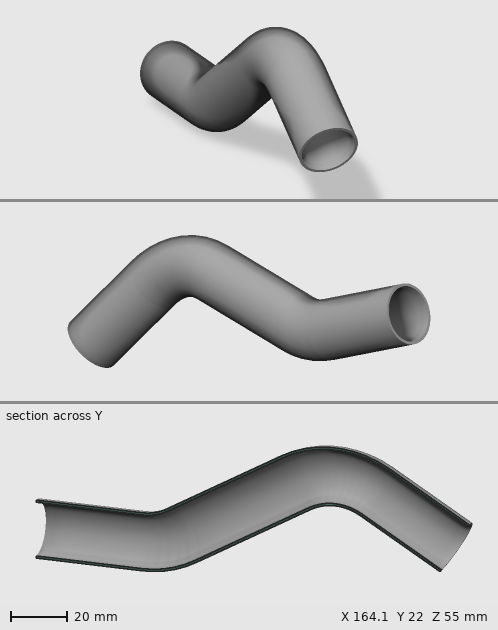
import cadquery as cq
import math

overall_length = 164.1
outer_diameter = 22.0
bore_diameter = 20.0
inlet_length = 40.0
middle_length = 50.0
bend_radius = 30.0
slope_angle = 30.0

slope = math.radians(slope_angle)
cos_slope = math.cos(slope)
sin_slope = math.sin(slope)

outlet_overhang = outer_diameter / 2 * sin_slope

bend_run = bend_radius * sin_slope
bend_rise = bend_radius * (1 - cos_slope)

lower_bend_start = (inlet_length, 0)
lower_bend_end = (inlet_length + bend_run, bend_rise)
upper_bend_start = (
    lower_bend_end[0] + middle_length * cos_slope,
    lower_bend_end[1] + middle_length * sin_slope,
)
upper_bend_top = (upper_bend_start[0] + bend_run, upper_bend_start[1] + bend_rise)
upper_bend_end = (upper_bend_top[0] + bend_run, upper_bend_start[1])
outlet_run = overall_length - outlet_overhang - upper_bend_end[0]
outlet_end = (
    upper_bend_end[0] + outlet_run,
    upper_bend_end[1] - outlet_run * math.tan(slope),
)

lower_bend_middle = (
    inlet_length + bend_radius * math.sin(slope / 2),
    bend_radius * (1 - math.cos(slope / 2)),
)

centreline = (
    cq.Workplane("XZ")
    .lineTo(*lower_bend_start)
    .threePointArc(lower_bend_middle, lower_bend_end)
    .lineTo(*upper_bend_start)
    .threePointArc(upper_bend_top, upper_bend_end)
    .lineTo(*outlet_end)
)

result = (
    cq.Workplane("YZ")
    .circle(outer_diameter / 2)
    .circle(bore_diameter / 2)
    .sweep(centreline)
)